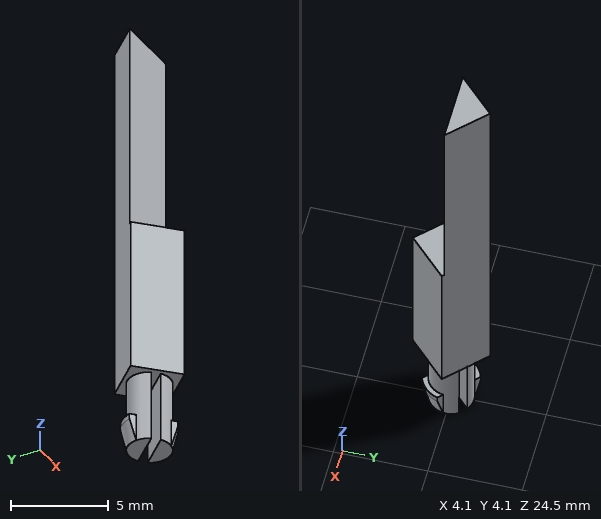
import cadquery as cq
import math

side = 2.9
turn = 45
total_height = 24.5
pin_length = 4.0
base_height = 8.7
flat_y = 0.1

pin_diameter = 2.4
slot_width = 0.5

barb_diameter = 3.0
barb_width = 1.5
barb_height = 1.55
barb_land = 0.3

body_height = total_height - pin_length
diagonal = side * math.sqrt(2)
tip_z = -pin_length
barb_top_z = tip_z + barb_height


def turn_about_z(shape):
    """Turn a shape from the X and Y axes to the diagonal directions."""
    return shape.rotate((0, 0, 0), (0, 0, 1), turn)


def make_body():
    """Square bar with the -Y half removed above the base."""
    bar = turn_about_z(cq.Workplane("XY").rect(side, side).extrude(body_height))
    removed_half = (
        cq.Workplane("XY")
        .workplane(offset=base_height)
        .center(0, flat_y - diagonal / 2)
        .rect(diagonal, diagonal)
        .extrude(body_height - base_height)
    )
    return bar.cut(removed_half)


def make_barbs():
    """Tapered collar trimmed to two opposite barbs, lying along Y before the turn."""
    barb_radius = barb_diameter / 2
    collar = (
        cq.Workplane("XZ")
        .moveTo(0, tip_z)
        .lineTo(pin_diameter / 2, tip_z)
        .lineTo(barb_radius, barb_top_z - barb_land)
        .lineTo(barb_radius, barb_top_z)
        .lineTo(0, barb_top_z)
        .close()
        .revolve(360, (0, 0), (0, 1))
    )
    band = (
        cq.Workplane("XY")
        .workplane(offset=tip_z)
        .rect(barb_width, barb_diameter)
        .extrude(barb_height)
    )
    return collar.intersect(band)


def make_pin():
    """Round pin with barbs, split by a slot over its whole length."""
    shank = cq.Workplane("XY").circle(pin_diameter / 2).extrude(-pin_length)
    slot = cq.Workplane("XY").rect(barb_diameter, slot_width).extrude(-pin_length)
    return turn_about_z(shank.union(make_barbs()).cut(slot))


result = make_body().union(make_pin())